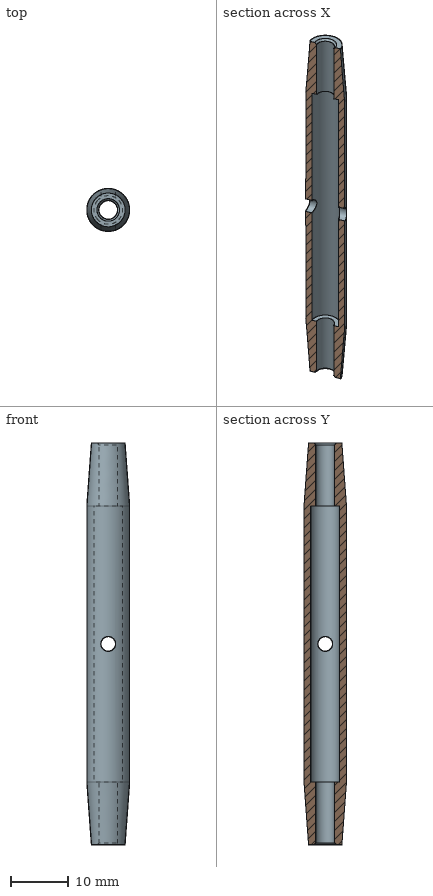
import cadquery as cq

length = 70.0
body_diameter = 7.5
end_diameter = 5.9
taper_length = 11.0
bore_diameter = 3.2
bore_chamfer = 0.35
relief_diameter = 5.0
cross_hole_diameter = 2.5

body_radius = body_diameter / 2
end_radius = end_diameter / 2
bore_radius = bore_diameter / 2
relief_radius = relief_diameter / 2
half_length = length / 2
shoulder_height = half_length - taper_length


def make_sleeve():
    """Cylindrical sleeve along Z, tapering towards both ends."""
    profile = (
        cq.Workplane("XZ")
        .moveTo(0, -half_length)
        .lineTo(end_radius, -half_length)
        .lineTo(body_radius, -shoulder_height)
        .lineTo(body_radius, shoulder_height)
        .lineTo(end_radius, half_length)
        .lineTo(0, half_length)
        .close()
    )
    return profile.revolve(360, (0, 0, 0), (0, 1, 0))


def make_bore():
    """Through bore along Z, chamfered at each mouth and relieved between the tapered ends."""
    mouth_radius = bore_radius + bore_chamfer
    profile = (
        cq.Workplane("XZ")
        .moveTo(0, -half_length)
        .lineTo(mouth_radius, -half_length)
        .lineTo(bore_radius, -half_length + bore_chamfer)
        .lineTo(bore_radius, -shoulder_height)
        .lineTo(relief_radius, -shoulder_height)
        .lineTo(relief_radius, shoulder_height)
        .lineTo(bore_radius, shoulder_height)
        .lineTo(bore_radius, half_length - bore_chamfer)
        .lineTo(mouth_radius, half_length)
        .lineTo(0, half_length)
        .close()
    )
    return profile.revolve(360, (0, 0, 0), (0, 1, 0))


def make_cross_hole():
    """Inspection hole along Y through both walls at mid length."""
    return cq.Workplane("XZ").circle(cross_hole_diameter / 2).extrude(body_diameter, both=True)


result = make_sleeve().cut(make_bore()).cut(make_cross_hole())